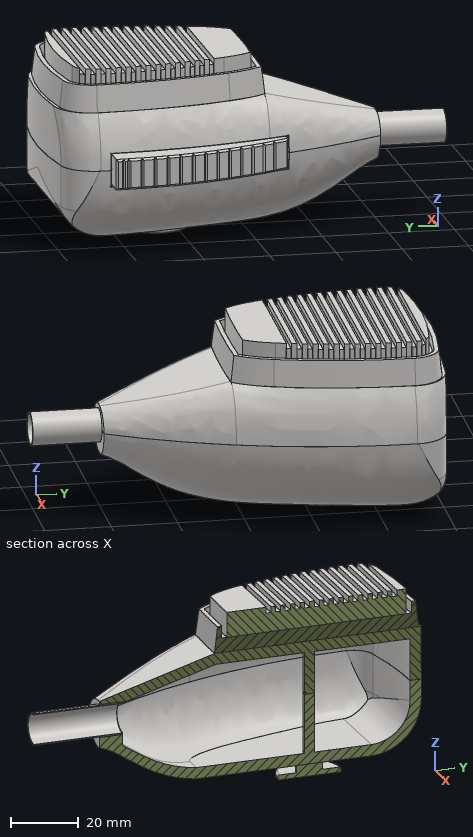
import cadquery as cq
import math


BODY_LENGTH = 102.0
HALF_WIDTH = 33.8
WIDEST_Y = 90.1
SIDE_RADIUS = 173.1
UPPER_TOP = 16.7
LOWER_BOTTOM = -22.3
NOSE_RISE = 6.3
SHOULDER_Y = 36.8
NOSE_RADIUS = 8.6
BACK_BOW = 3.5
BACK_CORNER_RADIUS = 10.4
BACK_BOTTOM_RADIUS = 16.0
BOTTOM_CORNER_RADIUS = 9.8
WALL = 3.7
CAVITY_START_Y = 7.4
LOFT_END_Y = 105.6

NOSE_STATIONS = [(0, 1.0), (12.3, 7.4), (24.5, 12.5), (SHOULDER_Y, 15.6)]
CHEST_STATIONS = [(SHOULDER_Y, 15.6), (49.1, 15.3), (70, 12.3), (WIDEST_Y, 4.9), (LOFT_END_Y, 4.9)]
DEEPEST = 22.8
LOWER_STATIONS = [
    (0, 1.0, NOSE_RADIUS),
    (12.3, 1.5, 15.5),
    (24.5, 3.1, 21.1),
    (36.8, 8.0, DEEPEST),
    (49.1, 12.9, DEEPEST),
    (70, 18.4, DEEPEST),
    (WIDEST_Y, 21.2, DEEPEST),
    (LOFT_END_Y, 11.0, DEEPEST),
]

POST_X = -0.4
POST_RADIUS = 1.7

BEZEL_TOP = 24.9
BEZEL_TAPER_INSET = 1.0
RIM_WIDTH = 1.5
RECESS_DEPTH = 3.7
BEZEL_BACK_Y = 101.2
BACK_CORNER = (20.3, 99.6)
SIDE_BACK = (29.2, 90.0)
SIDE_FRONT = (23.0, 48.5)
FRONT_CORNER = (16.7, 36.7)
BEZEL_FRONT_Y = 36.3

GRILLE_TOP = 29.1
GRILLE_GAP = 1.5
SLOT_COUNT = 14
SLOT_PITCH = 3.1
SLOT_WIDTH = 1.5
SLOT_DEPTH = 1.8
LAST_SLOT_Y = 53.5
WEB_INSET = 0.6

BUTTON_REACH = 39.5
BUTTON_RADIUS = 109.3
BUTTON_FRONT_Y = 31.2
BUTTON_BACK_Y = 86.3
BUTTON_HALF_HEIGHT = 4.7
BUTTON_SEAT_DEPTH = 1.8
BUTTON_CHAMFER = 0.6
BUTTON_CLEARANCE = 0.5
GROOVE_COUNT = 13
GROOVE_PITCH = 4.0
END_GROOVE_OFFSET = 2.2
FIRST_GROOVE_OFFSET = 3.8
GROOVE_HALF_WIDTH = 0.5
GROOVE_DEPTH = 0.5

SLEEVE_LENGTH = 20.7
SLEEVE_DIAMETER = 10.2
SLEEVE_BORE_DIAMETER = 9.2
SLEEVE_SEAT_DEPTH = CAVITY_START_Y

HANGER_Y = 66.5
HANGER_NECK_RADIUS = 4.2
HANGER_DISC_RADIUS = 10.1
HANGER_DISC_TOP = -24.4
HANGER_DISC_BOTTOM = -26.2
HANGER_EDGE_FILLET = 0.6


def half_width(y):
    """Half width of the housing at the parting plane: one large arc on each side."""
    return HALF_WIDTH - SIDE_RADIUS + math.sqrt(SIDE_RADIUS**2 - (WIDEST_Y - y) ** 2)


def section_wire(y, width, flat, height, cut_height):
    """Half cross-section: quarter ellipses of `height`, cut off flat at `cut_height`.

    Negative heights give a section that hangs below the parting plane.
    """
    steps = 4
    end_angle = math.asin(min(1, cut_height / height))
    angles = [end_angle * step / steps for step in range(steps + 1)]
    right = [cq.Vector(flat + (width - flat) * math.cos(a), y, height * math.sin(a)) for a in angles]
    left = [cq.Vector(-p.x, p.y, p.z) for p in reversed(right)]
    return cq.Wire.assembleEdges([
        cq.Edge.makeSpline(right),
        cq.Edge.makeLine(right[-1], left[0]),
        cq.Edge.makeSpline(left),
        cq.Edge.makeLine(left[-1], right[0]),
    ])


def plan_block(inset):
    """Upright block with the bowed back face of the housing and square back corners."""
    half = HALF_WIDTH - inset
    front_y = CAVITY_START_Y if inset else 0
    side_y = BODY_LENGTH - BACK_BOW - inset
    return (
        cq.Workplane("XY", origin=(0, 0, LOWER_BOTTOM + inset))
        .moveTo(-half, front_y)
        .lineTo(half, front_y)
        .lineTo(half, side_y)
        .threePointArc((0, BODY_LENGTH - inset), (-half, side_y))
        .close()
        .extrude(UPPER_TOP - LOWER_BOTTOM - 2 * inset)
    )


def lower_limit(inset):
    """Block that rounds off the back corners and the back bottom edge of the lower shell."""
    corners = (
        plan_block(inset)
        .edges("|Z")
        .edges(">Y")
        .fillet(BACK_CORNER_RADIUS - inset)
        .faces("<Z")
        .edges("not <Y")
        .fillet(BOTTOM_CORNER_RADIUS - inset)
    )
    profile = (
        cq.Workplane("XY", origin=(0, 0, LOWER_BOTTOM + inset))
        .box(3 * HALF_WIDTH, BODY_LENGTH - inset, 2 * BACK_BOTTOM_RADIUS, centered=(True, False, False))
        .edges(">Y and <Z")
        .fillet(BACK_BOTTOM_RADIUS - inset)
    )
    return corners.intersect(profile)


def upper_form(inset):
    """Solid upper half of the housing, drawn in by `inset` on every outer face."""

    def loft(stations):
        wires = []
        for y, flat in stations:
            height = NOSE_RISE + (UPPER_TOP - NOSE_RISE) * y / SHOULDER_Y - inset
            wires.append(section_wire(y, half_width(y) - inset, flat, height, UPPER_TOP - inset))
        return cq.Workplane(cq.Solid.makeLoft(wires))

    form = loft(NOSE_STATIONS).union(loft(CHEST_STATIONS)).intersect(plan_block(inset))
    corner_zone = cq.selectors.BoxSelector(
        (-2 * HALF_WIDTH, WIDEST_Y, UPPER_TOP / 4), (2 * HALF_WIDTH, BODY_LENGTH, UPPER_TOP * 3 / 4)
    )
    return form.edges(corner_zone).fillet(BACK_CORNER_RADIUS - inset)


def lower_form(inset):
    """Solid lower half of the housing, drawn in by `inset` on every outer face."""
    wires = [
        section_wire(y, half_width(y) - inset, flat, inset - depth, inset - depth)
        for y, flat, depth in LOWER_STATIONS
    ]
    return cq.Workplane(cq.Solid.makeLoft(wires)).intersect(lower_limit(inset))


def post():
    """Screw post standing on the full height of the housing."""
    return (
        cq.Workplane("XY", origin=(POST_X, HANGER_Y, LOWER_BOTTOM + WALL / 2))
        .circle(POST_RADIUS)
        .extrude(UPPER_TOP - LOWER_BOTTOM - WALL)
    )


def nose_cylinder(diameter, y_start, y_end):
    """Cylinder along the cable axis."""
    return cq.Workplane("XZ", origin=(0, y_start, 0)).circle(diameter / 2).extrude(y_start - y_end)


def button_block(clearance):
    """Button outline in plan: one large outer arc, seated a little way into the housing side."""
    arc_center_x = BUTTON_RADIUS - BUTTON_REACH
    front_y = BUTTON_FRONT_Y - clearance
    back_y = BUTTON_BACK_Y + clearance
    middle_y = (front_y + back_y) / 2

    def outer_point(y):
        return arc_center_x - math.sqrt(BUTTON_RADIUS**2 - (BUTTON_BACK_Y - y) ** 2), y

    def inner_point(y):
        return BUTTON_SEAT_DEPTH - half_width(y), y

    return (
        cq.Workplane("XY")
        .moveTo(*outer_point(front_y))
        .threePointArc(outer_point(middle_y), outer_point(back_y))
        .lineTo(*inner_point(back_y))
        .threePointArc(inner_point(middle_y), inner_point(front_y))
        .close()
        .extrude(BUTTON_HALF_HEIGHT + clearance, both=True)
    )


def bezel_outline(inset, z):
    """Closed plan outline of the bezel foot, drawn in by `inset`, at height `z`."""

    def point(place):
        return cq.Vector(*place, z)

    corner = cq.Edge.makeTangentArc(point(SIDE_BACK), cq.Vector(0, 1, 0), point(BACK_CORNER))
    side = cq.Edge.makeTangentArc(point(SIDE_BACK), cq.Vector(0, -1, 0), point(SIDE_FRONT))
    cheek = cq.Edge.makeTangentArc(point(SIDE_FRONT), side.tangentAt(1), point(FRONT_CORNER))
    right = [corner, side, cheek]
    left = [edge.mirror("YZ") for edge in right]
    back = cq.Edge.makeThreePointArc(
        corner.endPoint(), point((0, BEZEL_BACK_Y)), left[0].endPoint()
    )
    front = cq.Edge.makeThreePointArc(
        cheek.endPoint(), point((0, BEZEL_FRONT_Y)), left[2].endPoint()
    )
    outline = cq.Wire.combine([*right, *left, back, front])[0]
    return outline.offset2D(-inset)[0] if inset else outline


def bezel_prism(inset, z_low, z_high):
    """Straight-sided block on the bezel outline."""
    outline = bezel_outline(inset, z_low)
    return cq.Workplane(cq.Solid.extrudeLinear(outline, [], cq.Vector(0, 0, z_high - z_low)))


def make_lower_shell():
    """Hollow bottom half of the housing, with the lower part of the screw post."""
    shell = lower_form(0)
    cavity = lower_form(WALL).cut(post())
    return shell.cut(cavity)


def make_upper_shell():
    """Hollow top half of the housing, with the upper part of the screw post."""
    shell = upper_form(0)
    cavity = upper_form(WALL).cut(post())
    return shell.cut(cavity)


def make_bezel():
    """Tapered frame on the upper shell, with a recess that holds the grille."""
    foot = bezel_outline(0, UPPER_TOP)
    rim = bezel_outline(BEZEL_TAPER_INSET, BEZEL_TOP)
    recess = bezel_prism(BEZEL_TAPER_INSET + RIM_WIDTH, BEZEL_TOP - RECESS_DEPTH, BEZEL_TOP)
    return cq.Workplane(cq.Solid.makeLoft([foot, rim], True)).cut(recess)


def make_grille():
    """Plate in the bezel recess; slots part its ribs, and the webs between them are drawn in."""
    floor_z = BEZEL_TOP - RECESS_DEPTH
    height = GRILLE_TOP - floor_z
    inset = BEZEL_TAPER_INSET + RIM_WIDTH + GRILLE_GAP
    grille = bezel_prism(inset, floor_z, GRILLE_TOP)
    webs = bezel_prism(inset + WEB_INSET, floor_z, GRILLE_TOP - SLOT_DEPTH)
    for index in range(SLOT_COUNT):
        slot = (
            cq.Workplane("XY", origin=(0, LAST_SLOT_Y + index * SLOT_PITCH, floor_z))
            .rect(3 * HALF_WIDTH, SLOT_WIDTH)
            .extrude(height)
        )
        grille = grille.cut(slot.cut(webs))
    return grille


def make_button():
    """Push-to-talk bar with bevelled edges and V grooves across its thumb face."""
    thumb_face = cq.selectors.NearestToPointSelector((-2 * BUTTON_REACH, BUTTON_FRONT_Y, 0))
    button = button_block(0).faces(thumb_face).edges().chamfer(BUTTON_CHAMFER)
    groove = (
        cq.Workplane("XY", origin=(-BUTTON_REACH, BUTTON_BACK_Y, 0))
        .moveTo(-GROOVE_DEPTH, -2 * GROOVE_HALF_WIDTH)
        .lineTo(GROOVE_DEPTH, 0)
        .lineTo(-GROOVE_DEPTH, 2 * GROOVE_HALF_WIDTH)
        .close()
        .extrude(2 * BUTTON_HALF_HEIGHT, both=True)
    )
    center = (BUTTON_RADIUS - BUTTON_REACH, BUTTON_BACK_Y)
    row = [FIRST_GROOVE_OFFSET + index * GROOVE_PITCH for index in range(GROOVE_COUNT)]
    for arc_length in [END_GROOVE_OFFSET, *row]:
        angle = math.degrees(arc_length / BUTTON_RADIUS)
        button = button.cut(groove.rotate((*center, 0), (*center, 1), angle))
    return button


def make_sleeve():
    """Cable sleeve that passes through the nose wall."""
    tube = nose_cylinder(SLEEVE_DIAMETER, -SLEEVE_LENGTH, SLEEVE_SEAT_DEPTH)
    return tube.cut(nose_cylinder(SLEEVE_BORE_DIAMETER, -SLEEVE_LENGTH, SLEEVE_SEAT_DEPTH))


def make_hanger():
    """Hanger disc on a short neck under the lower shell."""
    disc = (
        cq.Workplane("XY", origin=(0, HANGER_Y, HANGER_DISC_BOTTOM))
        .circle(HANGER_DISC_RADIUS)
        .extrude(HANGER_DISC_TOP - HANGER_DISC_BOTTOM)
        .edges()
        .fillet(HANGER_EDGE_FILLET)
    )
    neck = (
        cq.Workplane("XY", origin=(0, HANGER_Y, HANGER_DISC_TOP))
        .circle(HANGER_NECK_RADIUS)
        .extrude(LOWER_BOTTOM - HANGER_DISC_TOP)
    )
    return disc.union(neck)


sleeve_seat = nose_cylinder(SLEEVE_DIAMETER, -SLEEVE_LENGTH, SLEEVE_SEAT_DEPTH)
seats = button_block(BUTTON_CLEARANCE).union(sleeve_seat)
lower_shell = make_lower_shell().cut(seats)
upper_shell = make_upper_shell().cut(seats)
bezel = make_bezel()
grille = make_grille()
button = make_button()
sleeve = make_sleeve()
hanger = make_hanger()

bodies = [lower_shell, upper_shell, bezel, grille, button, sleeve, hanger]
result = cq.Compound.makeCompound([body.solids().val() for body in bodies])